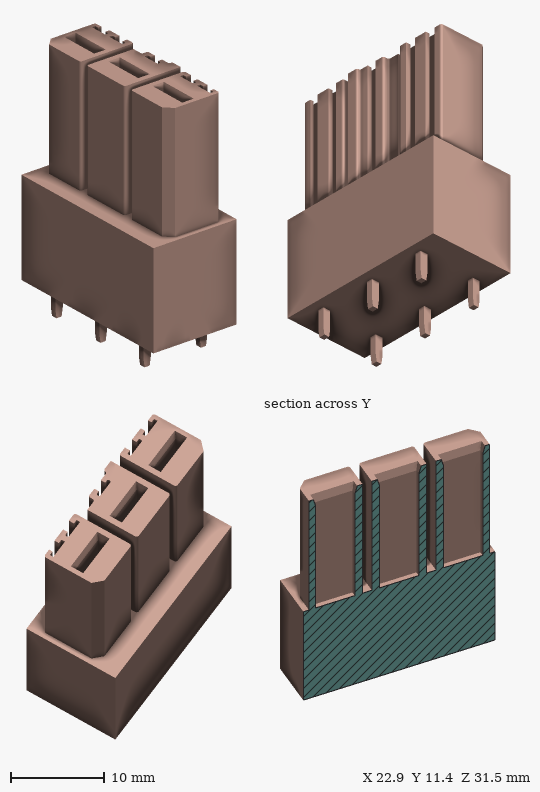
import cadquery as cq

BASE_X = 22.87
BASE_Y = 11.4
BASE_Z = 12.6
PITCH = BASE_X / 3

TOTAL_Z = 31.5
PIN_LENGTH = 3.43
PIN_X = 0.8
PIN_Y = 1.0
PIN_TIP_Y = 0.7
PIN_TIP_LENGTH = 1.05
PIN_ROW_SPACING = 7.72

TOWER_Z = TOTAL_Z - PIN_LENGTH - BASE_Z
TOWER_FRONT = -3.2
MIDDLE_HALF_X = 3.28
CORNER_CHAMFER = 1.0
CORNER_RADIUS = 0.28
STEP_RADIUS = 0.25

OUTER_EDGE_X = -3.15
INNER_EDGE_X = 3.25

LOW_STEP = 3.2
END_LIP = 3.9
POST_LIP = 4.03
INNER_LIP = 4.13
KEY_LIP = 4.47
STEP_X = 1.83

GROOVE_OFFSET = 1.48
GROOVE_NECK_X = 1.25
GROOVE_HEAD_X = 2.3
GROOVE_FLOOR = 3.02
GROOVE_HEAD_TOP = 3.45
GROOVE_RADIUS = 0.2

SLOT_X = 4.63
SLOT_Y = 1.0
MOUTH_MARGIN = 0.28
MOUTH_DEPTH = 1.0


def block(x_min, x_max, y_min, y_max):
    """Prism of tower height, standing on the housing block."""
    return (
        cq.Workplane("XY", origin=(0, 0, BASE_Z))
        .moveTo((x_min + x_max) / 2, (y_min + y_max) / 2)
        .rect(x_max - x_min, y_max - y_min)
        .extrude(TOWER_Z)
    )


def key_groove(x, rounded_edges):
    """T-shaped groove cutter, with the chosen edges of its head rounded."""
    head = block(x - GROOVE_HEAD_X / 2, x + GROOVE_HEAD_X / 2, GROOVE_FLOOR, GROOVE_HEAD_TOP)
    if rounded_edges:
        head = head.edges(rounded_edges).fillet(GROOVE_RADIUS)
    neck = block(x - GROOVE_NECK_X / 2, x + GROOVE_NECK_X / 2, GROOVE_FLOOR, KEY_LIP)
    return head.union(neck)


def contact_slot():
    """Slot cutter as deep as the tower, widening towards its mouth."""
    top = cq.Workplane("XY", origin=(0, 0, BASE_Z + TOWER_Z))
    shaft = top.rect(SLOT_X, SLOT_Y).extrude(-TOWER_Z)
    mouth = (
        top.rect(SLOT_X + 2 * MOUTH_MARGIN, SLOT_Y + 2 * MOUTH_MARGIN)
        .workplane(offset=-MOUTH_DEPTH)
        .rect(SLOT_X, SLOT_Y)
        .loft()
    )
    return shaft.union(mouth)


def tower(left_x, right_x, back_outline):
    """Tower with a flat front and the given stepped outline along its back."""
    return (
        cq.Workplane("XY", origin=(0, 0, BASE_Z))
        .polyline([(left_x, TOWER_FRONT), (right_x, TOWER_FRONT)] + back_outline)
        .close()
        .extrude(TOWER_Z)
        .cut(contact_slot())
    )


def edge_at(x, y):
    """Selector for the vertical tower edge at a plan position."""
    return cq.selectors.NearestToPointSelector((x, y, BASE_Z + TOWER_Z / 2))


def outer_tower():
    """Left tower: chamfered outer corner and two key grooves."""
    body = tower(
        OUTER_EDGE_X,
        INNER_EDGE_X,
        [
            (INNER_EDGE_X, INNER_LIP),
            (GROOVE_OFFSET, INNER_LIP),
            (GROOVE_OFFSET, POST_LIP),
            (-GROOVE_OFFSET, POST_LIP),
            (-GROOVE_OFFSET, END_LIP),
            (OUTER_EDGE_X, END_LIP),
        ],
    )
    body = body.edges(edge_at(OUTER_EDGE_X, TOWER_FRONT)).chamfer(CORNER_CHAMFER)
    for corner in [(INNER_EDGE_X, TOWER_FRONT), (OUTER_EDGE_X, END_LIP), (INNER_EDGE_X, INNER_LIP)]:
        body = body.edges(edge_at(*corner)).fillet(CORNER_RADIUS)
    body = body.cut(key_groove(-GROOVE_OFFSET, None))
    return body.cut(key_groove(GROOVE_OFFSET, "<X and |Z"))


def middle_tower():
    """Middle tower: back stepping up towards +X, with one key groove."""
    body = tower(
        -MIDDLE_HALF_X,
        MIDDLE_HALF_X,
        [
            (MIDDLE_HALF_X, KEY_LIP),
            (STEP_X, KEY_LIP),
            (STEP_X, POST_LIP),
            (-STEP_X, POST_LIP),
            (-STEP_X, LOW_STEP),
            (-MIDDLE_HALF_X, LOW_STEP),
        ],
    )
    for x in (-MIDDLE_HALF_X, MIDDLE_HALF_X):
        body = body.edges(edge_at(x, TOWER_FRONT)).fillet(CORNER_RADIUS)
    for step in [(STEP_X, KEY_LIP), (STEP_X, POST_LIP), (-STEP_X, POST_LIP), (-STEP_X, LOW_STEP)]:
        body = body.edges(edge_at(*step)).fillet(STEP_RADIUS)
    return body.cut(key_groove(0, "|Z"))


def build_housing():
    """Block with a middle tower and two mirrored outer towers."""
    base = cq.Workplane("XY").box(BASE_X, BASE_Y, BASE_Z, centered=(True, True, False))
    left = outer_tower().translate((-PITCH, 0, 0))
    right = left.mirror("YZ")
    return base.union(left).union(middle_tower()).union(right)


def build_pin(x, y):
    """Solder pin hanging from the block, tapered in Y at its tip."""
    tip_top = PIN_TIP_LENGTH - PIN_LENGTH
    return (
        cq.Workplane("YZ")
        .polyline([
            (-PIN_Y / 2, 0),
            (-PIN_Y / 2, tip_top),
            (-PIN_TIP_Y / 2, -PIN_LENGTH),
            (PIN_TIP_Y / 2, -PIN_LENGTH),
            (PIN_Y / 2, tip_top),
            (PIN_Y / 2, 0),
        ])
        .close()
        .extrude(PIN_X / 2, both=True)
        .translate((x, y, 0))
    )


housing = build_housing()

pins = []
for column in (-1, 0, 1):
    for row in (-1, 1):
        pins.append(build_pin(column * PITCH, row * PIN_ROW_SPACING / 2).val())

result = cq.Compound.makeCompound([housing.val(), *pins])